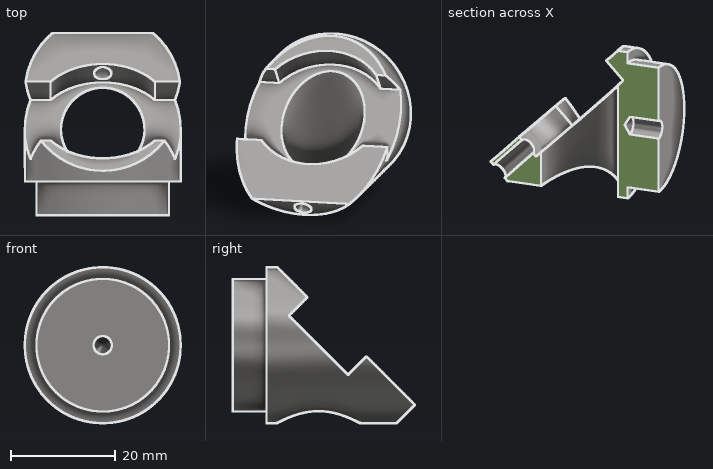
import cadquery as cq
import math

BODY_DIAMETER = 30.0
SPIGOT_DIAMETER = 25.5
SPIGOT_LENGTH = 6.5
SEAT_CENTER_Y = 16.5
SEAT_DEPTH = 5.0
SEAT_WIDTH = 16.0
SEAT_ARC_HALF_CHORD = 10.0
WINDOW_DIAMETER = 16.0
SET_SCREW_HOLE_DIAMETER = 3.3
MOUNT_HOLE_DIAMETER = 3.5
MOUNT_HOLE_DEPTH = 6.0
DRILL_POINT_ANGLE = 118.0

BODY_RADIUS = BODY_DIAMETER / 2
MOUNT_HOLE_RADIUS = MOUNT_HOLE_DIAMETER / 2
SEAT_RADIUS = math.hypot(SEAT_ARC_HALF_CHORD, SEAT_WIDTH / 2)
SLOPE_REACH = BODY_RADIUS * math.sqrt(2)
SLOPE_SHIFT = SEAT_DEPTH * math.sqrt(2)
OUTER_SLOPE_Y = SEAT_CENTER_Y + SLOPE_SHIFT
END_BEVEL_Y = SEAT_CENTER_Y + BODY_DIAMETER
TIP_Y = (OUTER_SLOPE_Y + END_BEVEL_Y) / 2
TIP_Z = OUTER_SLOPE_Y - TIP_Y

SEAT_PLANE = cq.Plane(origin=(0, SEAT_CENTER_Y, 0), xDir=(1, 0, 0), normal=(0, 1, 1))


def cylinder_along_y(diameter, start, end):
    face = cq.Workplane("XZ", origin=(0, start, 0)).circle(diameter / 2)
    return face.extrude(start - end)


def side_envelope():
    """Side profile, limited by the 45 degree slope and the bevel square to it."""
    profile = [
        (0, -BODY_RADIUS),
        (END_BEVEL_Y - BODY_RADIUS, -BODY_RADIUS),
        (TIP_Y, TIP_Z),
        (OUTER_SLOPE_Y - BODY_RADIUS, BODY_RADIUS),
        (0, BODY_RADIUS),
    ]
    return cq.Workplane("YZ").polyline(profile).close().extrude(BODY_RADIUS, both=True)


def blank():
    spigot = cylinder_along_y(SPIGOT_DIAMETER, 0, SPIGOT_LENGTH)
    body = cylinder_along_y(BODY_DIAMETER, SPIGOT_LENGTH, TIP_Y)
    return spigot.union(body).intersect(side_envelope())


def seat_pocket():
    """Round seat joined to a straight channel that runs out of both sides."""
    channel = cq.Workplane(SEAT_PLANE).rect(BODY_DIAMETER, SEAT_WIDTH).extrude(SEAT_DEPTH)
    round_seat = cq.Workplane(SEAT_PLANE).circle(SEAT_RADIUS).extrude(SEAT_DEPTH)
    return channel.union(round_seat)


def window():
    """Vertical bore from the underside up to the seat floor, leaving the rim above intact."""
    bore = (
        cq.Workplane("XY", origin=(0, SEAT_CENTER_Y, -BODY_RADIUS))
        .circle(WINDOW_DIAMETER / 2)
        .extrude(BODY_DIAMETER)
    )
    cover = 2 * BODY_DIAMETER
    above_floor = cq.Workplane(SEAT_PLANE).rect(cover, cover).extrude(cover)
    return bore.cut(above_floor)


def set_screw_hole():
    """Hole down the slope, from the seat through the bevelled end, at half the seat depth."""
    middle = SEAT_PLANE.toWorldCoords((0, 0, SEAT_DEPTH / 2))
    start_plane = cq.Plane(origin=middle, xDir=(1, 0, 0), normal=(0, 1, -1))
    return cq.Workplane(start_plane).circle(SET_SCREW_HOLE_DIAMETER / 2).extrude(SLOPE_REACH)


def mount_hole():
    """Blind drilled hole with a conical point, centred on the spigot face."""
    point_length = MOUNT_HOLE_RADIUS / math.tan(math.radians(DRILL_POINT_ANGLE / 2))
    half_section = [
        (0, 0),
        (MOUNT_HOLE_RADIUS, 0),
        (MOUNT_HOLE_RADIUS, MOUNT_HOLE_DEPTH),
        (0, MOUNT_HOLE_DEPTH + point_length),
    ]
    return cq.Workplane("XY").polyline(half_section).close().revolve(360, (0, 0), (0, 1))


result = (
    blank()
    .cut(seat_pocket())
    .cut(window())
    .cut(set_screw_hole())
    .cut(mount_hole())
)